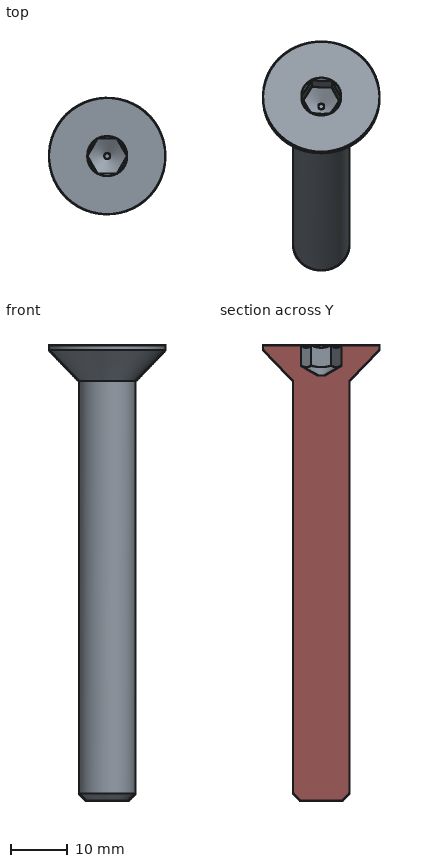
import cadquery as cq
import math

total_length = 80.0
head_diameter = 20.5
shank_diameter = 10.0
head_height = 6.3
rim_height = 0.9
tip_chamfer = 1.3

socket_width = 6.1
corner_depth = 3.6
lead_in_angle = 45.0
floor_cone_angle = 120.0
floor_flat_diameter = 1.0

head_radius = head_diameter / 2
shank_radius = shank_diameter / 2
corner_radius = socket_width / 2 / math.cos(math.pi / 6)


def screw_body():
    """Revolved countersunk head, shank and chamfered tip."""
    cone_top = total_length - rim_height
    cone_bottom = total_length - head_height
    profile = (
        cq.Workplane("XZ")
        .lineTo(shank_radius - tip_chamfer, 0)
        .lineTo(shank_radius, tip_chamfer)
        .lineTo(shank_radius, cone_bottom)
        .lineTo(head_radius, cone_top)
        .lineTo(head_radius, total_length)
        .lineTo(0, total_length)
        .close()
    )
    return profile.revolve(360, (0, 0, 0), (0, 1, 0))


def hex_socket():
    """Hexagonal recess with a conical lead-in and a flat-tipped conical floor."""
    flat_radius = floor_flat_diameter / 2
    floor_drop = (corner_radius - flat_radius) / math.tan(math.radians(floor_cone_angle / 2))
    corner_z = total_length - corner_depth
    bottom_z = corner_z - floor_drop

    envelope = (
        cq.Workplane("XZ")
        .moveTo(0, bottom_z)
        .lineTo(flat_radius, bottom_z)
        .lineTo(corner_radius, corner_z)
        .lineTo(corner_radius, total_length)
        .lineTo(0, total_length)
        .close()
        .revolve(360, (0, 0, 0), (0, 1, 0))
    )
    prism = (
        cq.Workplane("XY", origin=(0, 0, bottom_z))
        .polygon(6, 2 * corner_radius)
        .extrude(total_length - bottom_z)
    )

    lead_in_height = corner_radius / math.tan(math.radians(lead_in_angle))
    lead_in = (
        cq.Workplane("XZ")
        .moveTo(0, total_length - lead_in_height)
        .lineTo(corner_radius, total_length)
        .lineTo(0, total_length)
        .close()
        .revolve(360, (0, 0, 0), (0, 1, 0))
    )
    return prism.intersect(envelope).union(lead_in)


result = screw_body().cut(hex_socket())